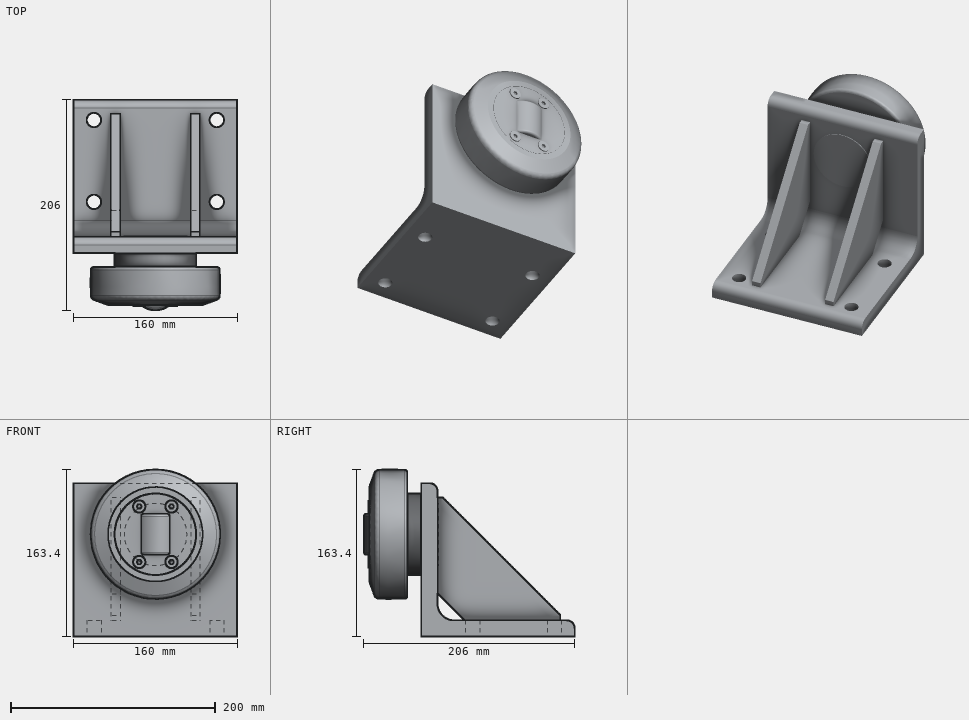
import cadquery as cq
import math

bracket_width = 160.0
leg_length = 150.0
leg_thickness = 16.0
inner_corner_radius = 16.0
toe_radius = 8.0

mount_hole_diameter = 13.84
mount_hole_edge = 20.0
mount_hole_pitch_y = 80.0

rib_thickness = 9.0
rib_offset_x = 39.0
rib_end = 136.0
rib_land = 5.0
rib_corner_cut = 26.0

axis_z = 100.0
neck_diameter = 80.0
neck_chamfer = 0.5
wheel_back = 13.5
wheel_face = 50.8
crown_radius = 63.39
tread_edge_radius = 63.0
wheel_face_radius = 46.2
face_cone_angle = 20.0
wheel_back_fillet = 3.0
wheel_front_fillet = 5.5

cap_diameter = 80.0
cap_groove_width = 0.3
cap_groove_depth = 0.5
pin_diameter = 61.0
pin_protrusion = 0.6

roller_front = 56.0
roller_radius = 21.5
roller_length = 40.4
roller_end_fillet = 2.5

screw_offset_x = 15.75
screw_offset_z = 27.1
screw_head_diameter = 11.7
screw_clearance_diameter = 12.3
screw_recess_depth = 1.0
screw_protrusion = 0.9
socket_corner_diameter = 4.92
socket_depth = 2.0


def axial_disc(x, z, diameter, y_start, y_end):
    """Cylinder along Y between two Y positions."""
    plane = cq.Plane(origin=(x, y_start, z), xDir=(1, 0, 0), normal=(0, 1, 0))
    return cq.Workplane(plane).circle(diameter / 2).extrude(y_end - y_start)


def make_angle():
    """L section extruded along X, with rounded toes and inner corner."""
    angle = (
        cq.Workplane("YZ")
        .moveTo(0, 0)
        .lineTo(leg_length, 0)
        .lineTo(leg_length, leg_thickness)
        .lineTo(leg_thickness, leg_thickness)
        .lineTo(leg_thickness, leg_length)
        .lineTo(0, leg_length)
        .close()
        .extrude(bracket_width / 2, both=True)
    )
    inner_corner = cq.selectors.NearestToPointSelector((0, leg_thickness, leg_thickness))
    base_toe = cq.selectors.NearestToPointSelector((0, leg_length, leg_thickness))
    upright_toe = cq.selectors.NearestToPointSelector((0, leg_thickness, leg_length))
    angle = angle.edges(inner_corner).fillet(inner_corner_radius)
    angle = angle.edges(base_toe).fillet(toe_radius)
    return angle.edges(upright_toe).fillet(toe_radius)


def make_mount_holes():
    hole_x = bracket_width / 2 - mount_hole_edge
    back_y = leg_length - mount_hole_edge
    points = [(sx * hole_x, y) for sx in (-1, 1) for y in (back_y, back_y - mount_hole_pitch_y)]
    return cq.Workplane("XY").pushPoints(points).circle(mount_hole_diameter / 2).extrude(leg_thickness)


def make_rib(x):
    """Diagonal plate between both legs, cut off clear of the inner corner."""
    inner = leg_thickness
    return (
        cq.Workplane("YZ", origin=(x, 0, 0))
        .moveTo(inner, inner + rib_corner_cut)
        .lineTo(inner, rib_end)
        .lineTo(inner + rib_land, rib_end)
        .lineTo(rib_end, inner + rib_land)
        .lineTo(rib_end, inner)
        .lineTo(inner + rib_corner_cut, inner)
        .close()
        .extrude(rib_thickness / 2, both=True)
    )


def edges_around(y):
    """Selector for the wheel edges lying in the plane at one Y position."""
    reach = 2 * crown_radius
    tolerance = 1.0
    return cq.selectors.BoxSelector((-reach, y - tolerance, -reach), (reach, y + tolerance, reach))


def make_wheel():
    """Crowned wheel with a conical front shoulder, on a neck with chamfered ends."""
    cone_drop = (tread_edge_radius - wheel_face_radius) * math.tan(math.radians(face_cone_angle))
    tread_front = wheel_face - cone_drop
    wheel = (
        cq.Workplane("XY")
        .moveTo(0, wheel_back)
        .lineTo(tread_edge_radius, wheel_back)
        .threePointArc((crown_radius, (wheel_back + tread_front) / 2), (tread_edge_radius, tread_front))
        .lineTo(wheel_face_radius, wheel_face)
        .lineTo(0, wheel_face)
        .close()
        .revolve(360, (0, 0, 0), (0, 1, 0))
    )
    wheel = wheel.edges(edges_around(wheel_back)).fillet(wheel_back_fillet)
    wheel = wheel.edges(edges_around(tread_front)).fillet(wheel_front_fillet)
    wheel = wheel.rotate((0, 0, 0), (0, 0, 1), 180).translate((0, 0, axis_z))
    neck = axial_disc(0, axis_z, neck_diameter, -wheel_back, 0).edges().chamfer(neck_chamfer)
    return wheel.union(neck)


def make_cap_groove():
    groove_floor = cap_groove_depth - wheel_face
    outer = axial_disc(0, axis_z, cap_diameter, -wheel_face, groove_floor)
    inner = axial_disc(0, axis_z, cap_diameter - 2 * cap_groove_width, -wheel_face, groove_floor)
    return outer.cut(inner)


def make_roller():
    """Roller with rounded ends, sunk into the wheel face."""
    return (
        cq.Workplane("XY", origin=(0, roller_radius - roller_front, axis_z))
        .circle(roller_radius)
        .extrude(roller_length / 2, both=True)
        .edges()
        .fillet(roller_end_fillet)
    )


def add_screw(body, x, z):
    """Hexagon socket screw whose head stands proud of a slightly wider recess."""
    head_front = -wheel_face - screw_protrusion
    recess_floor = screw_recess_depth - wheel_face
    body = body.cut(axial_disc(x, z, screw_clearance_diameter, -wheel_face, recess_floor))
    body = body.union(axial_disc(x, z, screw_head_diameter, head_front, recess_floor))
    socket_plane = cq.Plane(origin=(x, head_front, z), xDir=(1, 0, 0), normal=(0, 1, 0))
    socket = cq.Workplane(socket_plane).polygon(6, socket_corner_diameter).extrude(socket_depth)
    return body.cut(socket)


result = make_angle().cut(make_mount_holes())
for side in (-1, 1):
    result = result.union(make_rib(side * rib_offset_x))
result = result.union(axial_disc(0, axis_z, pin_diameter, 0, leg_thickness + pin_protrusion))
result = result.union(make_wheel()).cut(make_cap_groove()).union(make_roller())
for side in (-1, 1):
    for level in (-1, 1):
        result = add_screw(result, side * screw_offset_x, axis_z + level * screw_offset_z)